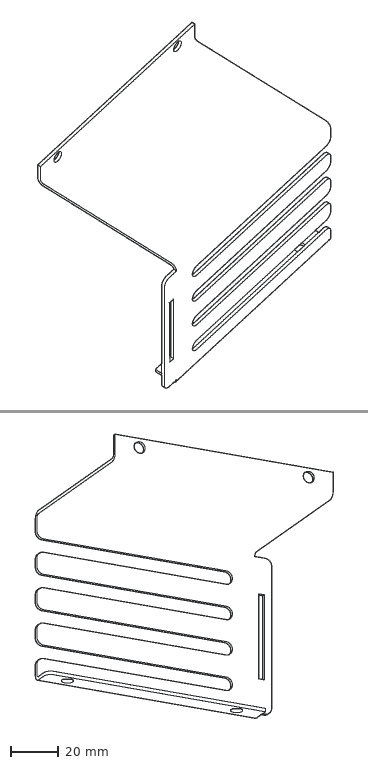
import cadquery as cq

width = 75.8
length = 111.0
height = 86.6

thickness = 1.5
bend_inner = 1.5
bend_outer = bend_inner + thickness
corner_radius = 3.2

flange_depth = 11.5
flange_length = 103.0
hole_diameter = 5.1
hole_end_inset = 11.5
hole_edge_inset = 4.1

slot_count = 4
slot_width = 6.0
slot_pitch = 16.0
slot_length = 92.4
lowest_slot_height = 13.8

window_width = 2.5
window_height = 38.3
window_front_inset = 3.5

left = -width / 2
right = width / 2
shelf_top = height - flange_depth + thickness
shelf_bottom = shelf_top - thickness
panel_bottom = bend_outer
panel_top = shelf_top - bend_outer
slot_centre_height = lowest_slot_height + slot_pitch * (slot_count - 1) / 2


def make_bent_sheet():
    """Lip, shelf, panel and base flange as one bent strip."""
    outline = [
        (right - flange_depth, 0),
        (right, 0),
        (right, shelf_top),
        (left + thickness, shelf_top),
        (left + thickness, height),
        (left, height),
        (left, shelf_bottom),
        (right - thickness, shelf_bottom),
        (right - thickness, thickness),
        (right - flange_depth, thickness),
    ]
    outer_bends = [(right, 0), (right, shelf_top), (left, shelf_bottom)]
    inner_bends = [
        (right - thickness, thickness),
        (right - thickness, shelf_bottom),
        (left + thickness, shelf_top),
    ]
    sheet = cq.Workplane("XZ").polyline(outline).close().extrude(flange_length)
    for bends, radius in ((outer_bends, bend_outer), (inner_bends, bend_inner)):
        for x, z in bends:
            edge = cq.selectors.NearestToPointSelector((x, -flange_length / 2, z))
            sheet = sheet.edges(edge).fillet(radius)
    return sheet


def make_front_tab():
    """Part of the panel that reaches forward past the flanges, with round corners."""
    tab_height = panel_top - panel_bottom
    overlap = corner_radius
    return (
        cq.Workplane("XY")
        .box(thickness, length - flange_length + overlap, tab_height, centered=False)
        .translate((right - thickness, -length, panel_bottom))
        .edges("|X and <Y")
        .fillet(corner_radius)
    )


def panel_cutter(depth_start, depth_end, z_centre, cutter_height):
    """Block through the panel between two distances from the back edge."""
    return (
        cq.Workplane("XY")
        .box(2 * bend_outer, depth_end - depth_start, cutter_height)
        .translate((right - thickness / 2, -(depth_start + depth_end) / 2, z_centre))
    )


def cut_slots(body):
    """Round-ended slots whose mouths are rounded at the back edge."""
    for index in range(slot_count):
        z = lowest_slot_height + index * slot_pitch
        radius = slot_width / 2
        slot = panel_cutter(0, slot_length - radius, z, slot_width)
        end = (
            cq.Workplane("YZ", origin=(right - bend_outer, radius - slot_length, z))
            .circle(radius)
            .extrude(2 * bend_outer)
        )
        body = body.cut(slot.union(end))
    for index in range(slot_count):
        z = lowest_slot_height + index * slot_pitch
        for side in (-1, 1):
            mouth = (right - thickness / 2, 0, z + side * slot_width / 2)
            body = body.edges(cq.selectors.NearestToPointSelector(mouth)).fillet(corner_radius)
    return body


def cut_flange_holes(body):
    """A pair of holes in the lip and a pair in the base flange."""
    radius = hole_diameter / 2
    cut_depth = 2 * thickness
    for y in (-hole_end_inset, hole_end_inset - flange_length):
        lip_centre = cq.Vector(left - thickness / 2, y, height - hole_edge_inset)
        base_centre = cq.Vector(right - flange_depth + hole_edge_inset, y, -thickness / 2)
        lip_hole = cq.Solid.makeCylinder(radius, cut_depth, lip_centre, cq.Vector(1, 0, 0))
        base_hole = cq.Solid.makeCylinder(radius, cut_depth, base_centre, cq.Vector(0, 0, 1))
        body = body.cut(cq.Workplane(lip_hole)).cut(cq.Workplane(base_hole))
    return body


def round_base_corner(body):
    """Round the free back corner of the base flange."""
    corner = (right - flange_depth, 0, thickness / 2)
    return body.edges(cq.selectors.NearestToPointSelector(corner)).fillet(corner_radius)


result = make_bent_sheet().union(make_front_tab())
result = cut_slots(result)
window_front = length - window_front_inset
result = result.cut(
    panel_cutter(window_front - window_width, window_front, slot_centre_height, window_height)
)
result = cut_flange_holes(result)
result = round_base_corner(result)